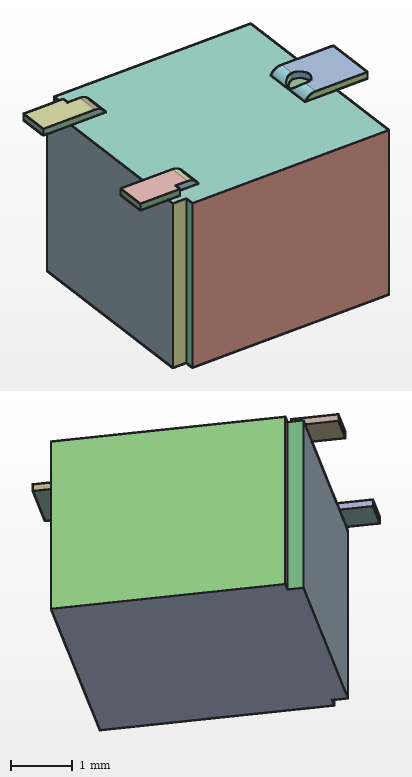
import cadquery as cq
import math

overall_depth = 5.32
overall_height = 3.3
lead_thickness = 0.13

body_width = 3.94
body_height = overall_height - lead_thickness
rear_overhang = 0.605
front_overhang = 0.555
step_depth = 0.265
step_inset = 0.175

lead_length = 1.24
bend_length = 0.215
bend_radius = (bend_length**2 + lead_thickness**2) / (2 * lead_thickness)
bend_run = lead_length - bend_length
rear_lead_width = 0.98
front_lead_inner_x = 1.1
front_lead_outer_x = 1.665
neck_outer_x = 1.54
wide_length = 0.79

hole_diameter = 0.38
hole_setback = 1.005
neutral_depth = 0.075
outline_steps = 12

rear_y = overall_depth / 2
front_y = -overall_depth / 2
body_rear_y = rear_y - rear_overhang
step_front_y = front_y + front_overhang
body_front_y = step_front_y + step_depth


def block(x_min, x_max, y_min, y_max, z_min, height):
    """Axis-aligned block between the given limits."""
    size = (x_max - x_min, y_max - y_min, height)
    return cq.Workplane("XY").box(*size, centered=False).translate((x_min, y_min, z_min))


def lead_strip(x_min, x_max, end_y, inward):
    """Strip from its free end at end_y; inward is the Y sign pointing to its rounded end."""
    bend_y = end_y + inward * bend_run
    tip_y = end_y + inward * lead_length
    mid_y = bend_y + inward * bend_length / 2
    mid_drop = bend_radius - math.sqrt(bend_radius**2 - (bend_length / 2) ** 2)
    profile = (
        cq.Workplane("YZ", origin=(x_min, 0, 0))
        .moveTo(end_y, body_height)
        .lineTo(end_y, overall_height)
        .lineTo(bend_y, overall_height)
        .threePointArc((mid_y, overall_height - mid_drop), (tip_y, body_height))
        .close()
    )
    return profile.extrude(x_max - x_min)


def make_body():
    half_width = body_width / 2
    half_step = half_width - step_inset
    main = block(-half_width, half_width, body_front_y, body_rear_y, 0, body_height)
    step = block(-half_step, half_step, step_front_y, body_front_y, 0, body_height)
    return main.union(step)


def bent_hole_outline(height):
    """Outline, at the given height, of the stretch of hole bent along with the rear lead.

    The round hole is wrapped on the neutral layer of the sheet and its walls are radial to the
    bend axis, so every horizontal section is the same curve scaled by its height above the axis.
    """
    radius = hole_diameter / 2
    start_angle = math.asin((bend_run - hole_setback) / radius)
    angle_step = (math.pi - 2 * start_angle) / outline_steps
    axis_height = height - (overall_height - bend_radius)
    points = []
    for i in range(outline_steps + 1):
        angle = start_angle + i * angle_step
        run_past_bend = hole_setback + radius * math.sin(angle) - bend_run
        bend_angle = run_past_bend / (bend_radius - neutral_depth)
        points.append((radius * math.cos(angle), -axis_height * math.tan(bend_angle)))
    plane = cq.Workplane("XY", origin=(0, rear_y - bend_run, height))
    return plane.spline(points).close().val()


def make_rear_hole():
    round_hole = (
        cq.Workplane("XY", origin=(0, rear_y - hole_setback, body_height))
        .circle(hole_diameter / 2)
        .extrude(lead_thickness)
    )
    flat_stretch = block(
        -rear_lead_width / 2, rear_lead_width / 2, rear_y - bend_run, rear_y, body_height, lead_thickness
    )
    outlines = [bent_hole_outline(body_height), bent_hole_outline(overall_height)]
    bent_part = cq.Workplane(cq.Solid.makeLoft(outlines, True))
    return round_hole.intersect(flat_stretch).union(bent_part)


def make_rear_lead():
    strip = lead_strip(-rear_lead_width / 2, rear_lead_width / 2, rear_y, -1)
    return strip.cut(make_rear_hole())


def make_right_front_lead():
    neck = lead_strip(front_lead_inner_x, neck_outer_x, front_y, 1)
    shoulder = block(
        neck_outer_x, front_lead_outer_x, front_y, front_y + wide_length, body_height, lead_thickness
    )
    return neck.union(shoulder)


right_front_lead = make_right_front_lead()
left_front_lead = right_front_lead.mirror("YZ")

result = make_body().union(make_rear_lead()).union(right_front_lead).union(left_front_lead)